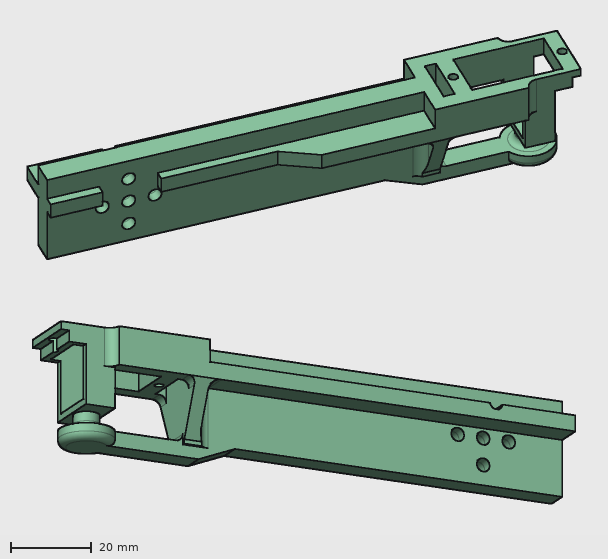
import cadquery as cq

LENGTH = 139.9
WIDTH = 21.7
HEIGHT = 29.0
OVERCUT = 7

HEAD_START = 100.2
HEAD_DEPTH = 10.1
NECK_WIDTH = 16.6
SHOULDER_Y = 125.1
SHOULDER_RADIUS = 3.0
OPENING_WIDTH = 13.2
OPENING_START, OPENING_END = 111.6, 135.7
SLOT_START, SLOT_END = 104.1, 107.0
PIN_DIAMETER = 2.4
PIN_PLACES = (109.1, 138.1)
LIP_LENGTH, LIP_THICKNESS = 2.2, 2.1
STEP_THICKNESS = 5.0

RIB_WIDTH = 6.3
SHELF_TOP = -5.9
NARROW_SHELF_X = 5.6
TAPER_START, TAPER_END = 70.1, 60.3
NOTCH_START, NOTCH_END = 13.9, 29.4
RIB_BOTTOM = -24.9
BAR_SLOPE_START, BAR_SLOPE_END = 89.8, 99.7
WINDOW_START = 104.1
WINDOW_RADIUS = 2.0

GUSSET_RADIUS = 3.0
GUSSET_FOOT_X = 4.0
GUSSET_SLOPE_END = -24.6
GUSSET_BOTTOM = -25.7

STIRRUP_LENGTH = 8.0
STIRRUP_BOTTOM = -20.7
STIRRUP_FLOOR = 1.8
FOOT_RADIUS = 7.1
FOOT_FILLET = 2.0
COLLAR_RADIUS = 3.4
COLLAR_FILLET = 1.8

CROSS_Y, CROSS_Z = 21.7, -12.6
CROSS_SPACING = 7
CROSS_DIAMETER = 3.5

stirrup_start = SHOULDER_Y
stirrup_end = stirrup_start + STIRRUP_LENGTH
foot_y = (stirrup_start + stirrup_end) / 2


def block(x0, x1, y0, y1, z0, z1):
    return cq.Workplane("XY").box(x1 - x0, y1 - y0, z1 - z0, centered=False).translate((x0, y0, z0))


def centred_block(width, y0, y1, z0, z1):
    return block(-width / 2, width / 2, y0, y1, z0, z1)


def both_sides(solid):
    return solid.union(solid.mirror("YZ"))


def rib():
    web_and_bar = [
        (0, 0),
        (HEAD_START, 0),
        (HEAD_START, -HEAD_DEPTH),
        (foot_y, -HEAD_DEPTH),
        (foot_y, -HEIGHT),
        (BAR_SLOPE_END, -HEIGHT),
        (BAR_SLOPE_START, RIB_BOTTOM),
        (0, RIB_BOTTOM),
    ]
    return cq.Workplane("YZ").polyline(web_and_bar).close().extrude(RIB_WIDTH / 2, both=True)


def window():
    cutter = centred_block(WIDTH, WINDOW_START, LENGTH + OVERCUT, RIB_BOTTOM, -HEAD_DEPTH)
    return cutter.faces("<Y").edges("|X").fillet(WINDOW_RADIUS)


def shelves():
    half = WIDTH / 2
    plan = [
        (-half, 0),
        (NARROW_SHELF_X, 0),
        (NARROW_SHELF_X, TAPER_END),
        (half, TAPER_START),
        (half, HEAD_START),
        (-half, HEAD_START),
    ]
    plate = cq.Workplane("XY").workplane(offset=-HEAD_DEPTH).polyline(plan).close()
    plate = plate.extrude(HEAD_DEPTH + SHELF_TOP)
    return plate.cut(block(0, half, NOTCH_START, NOTCH_END, -HEAD_DEPTH, SHELF_TOP))


def gusset():
    gusset_start = HEAD_START - GUSSET_RADIUS
    gusset_end = WINDOW_START + WINDOW_RADIUS
    profile = [
        (-WIDTH / 2, -HEAD_DEPTH),
        (WIDTH / 2, -HEAD_DEPTH),
        (GUSSET_FOOT_X, GUSSET_SLOPE_END),
        (GUSSET_FOOT_X, GUSSET_BOTTOM),
        (-GUSSET_FOOT_X, GUSSET_BOTTOM),
        (-GUSSET_FOOT_X, GUSSET_SLOPE_END),
    ]
    body = cq.Workplane("XZ", origin=(0, gusset_end, 0)).polyline(profile).close()
    body = body.extrude(gusset_end - gusset_start)
    hollow = block(RIB_WIDTH / 2, WIDTH, 0, HEAD_START, -HEIGHT - OVERCUT, -HEAD_DEPTH)
    hollow = hollow.edges("(|Z and <X and >Y) or (|X and >Y and >Z)").fillet(GUSSET_RADIUS)
    lower_rounding_top = RIB_BOTTOM + WINDOW_RADIUS
    below_window = centred_block(WIDTH, WINDOW_START, LENGTH, -HEIGHT, lower_rounding_top)
    return body.cut(both_sides(hollow)).cut(below_window)


def head():
    body = centred_block(WIDTH, HEAD_START, LENGTH, -HEAD_DEPTH, 0)
    body = body.union(centred_block(NECK_WIDTH, stirrup_start, stirrup_end, STIRRUP_BOTTOM, 0))

    neck_side = block(NECK_WIDTH / 2, WIDTH, SHOULDER_Y, LENGTH + OVERCUT, -HEIGHT, OVERCUT)
    body = body.cut(both_sides(neck_side.edges("|Z and <X and <Y").fillet(SHOULDER_RADIUS)))

    body = body.cut(centred_block(WIDTH, LENGTH - LIP_LENGTH, LENGTH, -HEIGHT, -LIP_THICKNESS))
    body = body.cut(centred_block(WIDTH, stirrup_end, LENGTH, -HEIGHT, -STEP_THICKNESS))

    stirrup_floor_z = STIRRUP_BOTTOM + STIRRUP_FLOOR
    body = body.cut(centred_block(OPENING_WIDTH, OPENING_START, OPENING_END, stirrup_floor_z, 0))
    for y in PIN_PLACES:
        pin_hole = cq.Workplane("XY").center(0, y).circle(PIN_DIAMETER / 2).extrude(-HEAD_DEPTH)
        body = body.cut(pin_hole)
    return body


def slot():
    """Slot through the head and the rounded top of the gusset."""
    slot_bottom = -HEAD_DEPTH - WINDOW_RADIUS
    return centred_block(OPENING_WIDTH, SLOT_START, SLOT_END, slot_bottom, 0)


def foot():
    """Rounded disc and filleted collar, turned about a vertical axis."""
    arc_middle = 1 - 0.5 ** 0.5
    collar_reach = COLLAR_FILLET * arc_middle
    foot_reach = FOOT_FILLET * arc_middle
    profile = (
        cq.Workplane("XZ", origin=(0, foot_y, 0))
        .moveTo(0, -HEIGHT)
        .lineTo(FOOT_RADIUS - FOOT_FILLET, -HEIGHT)
        .threePointArc(
            (FOOT_RADIUS - foot_reach, -HEIGHT + foot_reach),
            (FOOT_RADIUS, -HEIGHT + FOOT_FILLET),
        )
        .lineTo(FOOT_RADIUS, RIB_BOTTOM)
        .lineTo(COLLAR_RADIUS + COLLAR_FILLET, RIB_BOTTOM)
        .threePointArc(
            (COLLAR_RADIUS + collar_reach, RIB_BOTTOM + collar_reach),
            (COLLAR_RADIUS, RIB_BOTTOM + COLLAR_FILLET),
        )
        .lineTo(COLLAR_RADIUS, STIRRUP_BOTTOM)
        .lineTo(0, STIRRUP_BOTTOM)
        .close()
    )
    return profile.revolve(360, (0, 0), (0, 1))


def cross_holes():
    offsets = [(0, 0)]
    for step in (-CROSS_SPACING, CROSS_SPACING):
        offsets += [(step, 0), (0, step)]
    plane = cq.Workplane("YZ", origin=(0, CROSS_Y, CROSS_Z))
    return plane.pushPoints(offsets).circle(CROSS_DIAMETER / 2).extrude(WIDTH, both=True)


result = (
    rib()
    .union(shelves())
    .cut(window())
    .union(gusset().cut(window()))
    .union(head())
    .cut(slot())
    .union(foot())
    .cut(cross_holes())
)